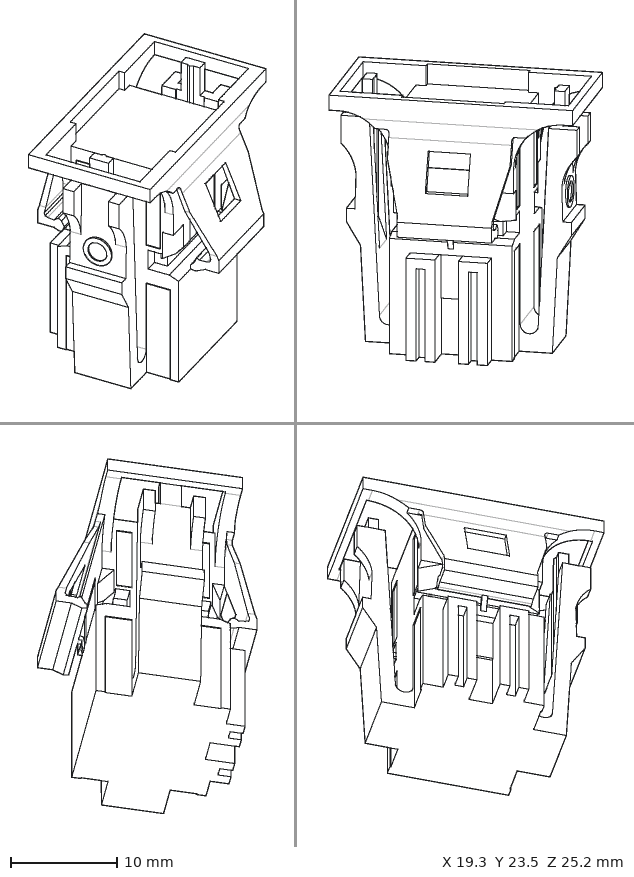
import cadquery as cq
import math

frame_top = 25.05
frame_bottom = 23.55
post_top = 25.2
core_top = 23.08
core_bottom = 13.38
base_top = 11.75

frame_half_x = 6.48
frame_length = 23.5
frame_half_y = frame_length / 2
opening_half_x = 5.0
opening_half_y = 11.0
notch_half_x = 5.6
notch_half_y = 4.95

core_half_x = 5.87
core_half_y = 5.92
core_chamfer = 0.4
neck_half_x = 4.59
base_half_x = 6.45
base_bevel_x = 1
base_bevel_z = 0.4

flare_radius = 4.91
flare_start_y = core_half_y + flare_radius
flare_end_z = frame_bottom - flare_radius
flare_ledge_z = 22.08
flare_drop = flare_ledge_z - flare_end_z
flare_ledge_y = flare_start_y - math.sqrt(flare_radius**2 - flare_drop**2)
flare_corner_radius = 0.35

corner_bevel_top = 16.33
corner_bevel_x = 4.7
corner_bevel_y = 3.83

panel_depth = 0.1
core_panel_half_x = 4.45
core_panel_bottom = 14.36
core_panel_top = 21.62
base_panel_half_x = 5.55
left_base_panel_top = 10.58
right_base_panel_top = 10.05
neck_pocket_width = 1.39
neck_pocket_top = 13.85
neck_pocket_depth = 1.29
side_recess_half_y = 2.52
side_recess_top = 18.35

arm_width = 5.97
arm_half_x = arm_width / 2
arm_foot_y = 9.02
arm_knee_y = 9.5
arm_knee_z = 9.42
ledge_y = 10.85
ledge_bottom = 11.67
ledge_top = 12.98
arm_face_bottom_y = 10.03
arm_face_top_y = 9.78
ear_y = 11.4
ear_curve_bottom = 16.43
ear_curve_top = 19.35
ear_curve_radius = 4.54
arm_top = 22.08
arm_inner_top_y = 8.65
arm_face_slope = (arm_face_top_y - arm_face_bottom_y) / (arm_top - ledge_top)
ear_curve_bottom_y = arm_face_bottom_y + arm_face_slope * (ear_curve_bottom - ledge_top)
slot_diameter = 1.75
slot_floor = 1.8
slot_round_z = slot_floor + slot_diameter / 2
arm_inner_bottom_y = core_half_y + slot_diameter
ear_gap_half_x = 1.85
arm_pocket_half_x = 1.5
arm_pocket_bottom = 8.82
arm_pocket_ramp_top = 11.1
arm_pocket_depth = 0.13
arm_pocket_face_y = arm_inner_top_y + arm_pocket_depth
arm_inner_slope = (arm_inner_top_y - arm_inner_bottom_y) / (arm_top - slot_round_z)
arm_pocket_ramp_y = arm_inner_bottom_y + arm_inner_slope * (arm_pocket_bottom - slot_round_z)

post_half_x = 1
post_inner_y = arm_pocket_face_y
post_outer_y = arm_face_top_y
post_rib_half_x = 0.3
post_rib_depth = 0.2

dial_outer = 3.0
dial_inner = 2.0
dial_height = 0.1
dial_root = 0.25
dial_z = 15.12

clip_root_z = 22.93
clip_taper_top = 19.45
clip_taper_bottom = 14.4
clip_foot_half_y = 4.55
window_half_y = 2.05
window_bottom = 16.55
window_top = 20.34
tie_half_y = 0.28

bar_top = 10.05
bar_outer_x = 8.27
bar_inner_y = 1.13
bar_outer_y = 3.93
bar_groove_inner_y = 2.1
bar_groove_outer_y = 2.95
bar_groove_top = 9.07
bar_groove_depth = 1.25
channel_depth = 0.75
deep_channel_depth = 1
deep_channel_top = 5.57


def block(x0, x1, y0, y1, z0, z1):
    """Axis-aligned block between two corners."""
    return cq.Workplane("XY").box(x1 - x0, y1 - y0, z1 - z0, centered=False).translate((x0, y0, z0))


def centred_block(half_x, half_y, z0, z1):
    """Block centred on the Z axis."""
    return block(-half_x, half_x, -half_y, half_y, z0, z1)


def extrude_along_x(profile, x0, x1):
    """Extrude a closed YZ profile from x0 to x1."""
    return profile.extrude(x1 - x0).translate((x0, 0, 0))


def extrude_along_y(points, half_y):
    """Extrude a closed XZ polygon symmetrically about y = 0."""
    return cq.Workplane("XZ").polyline(points).close().extrude(half_y, both=True)


def both_ends(solid):
    """The solid together with its mirror image across the XZ plane."""
    return solid.union(solid.mirror("XZ"))


def make_housing():
    """Bevelled core, narrow neck and wide base, before any recesses."""
    core = centred_block(core_half_x, core_half_y, core_bottom, core_top)
    core = core.faces("<Z").edges("|Y").chamfer(core_chamfer)
    bevel_overrun = 1.25
    outer_x = core_half_x + bevel_overrun
    slope = (core_half_y - corner_bevel_y) / (core_half_x - corner_bevel_x)
    drop = bevel_overrun * slope
    corner = (
        cq.Workplane("XY", origin=(0, 0, core_bottom))
        .polyline([
            (corner_bevel_x - bevel_overrun, core_half_y + drop),
            (outer_x, corner_bevel_y - drop),
            (outer_x, core_half_y + drop),
        ])
        .close()
        .extrude(corner_bevel_top - core_bottom)
    )
    corners = both_ends(corner.union(corner.mirror("YZ")))
    neck = centred_block(neck_half_x, core_half_y, base_top, core_panel_bottom)
    shoulder_x = base_half_x - base_bevel_x
    shoulder_z = base_top - base_bevel_z
    base = extrude_along_y(
        [
            (-base_half_x, 0), (base_half_x, 0), (base_half_x, shoulder_z),
            (shoulder_x, base_top), (-shoulder_x, base_top), (-base_half_x, shoulder_z),
        ],
        core_half_y,
    )
    return core.cut(corners).union(neck).union(base)


def make_panel_recesses():
    """Panels and neck pockets sunk into the front and back faces, beside the arms."""
    face_y = core_half_y - panel_depth
    core_panel = block(arm_half_x, core_panel_half_x, face_y, core_half_y, core_panel_bottom, core_panel_top)
    panels = core_panel.union(core_panel.mirror("YZ"))
    panels = panels.union(block(-base_panel_half_x, -arm_half_x, face_y, core_half_y, 0, left_base_panel_top))
    panels = panels.union(block(arm_half_x, base_panel_half_x, face_y, core_half_y, 0, right_base_panel_top))
    pocket_y = core_half_y - neck_pocket_depth
    pocket_x = neck_half_x - neck_pocket_width
    pocket = block(pocket_x, neck_half_x, pocket_y, core_half_y, base_top, neck_pocket_top)
    return both_ends(panels.union(pocket).union(pocket.mirror("YZ")))


def make_side_recesses():
    """Shallow recesses in the core behind the latch clips."""
    face_x = core_half_x - panel_depth
    recess = block(face_x, core_half_x, -side_recess_half_y, side_recess_half_y, core_bottom, side_recess_top)
    return recess.union(recess.mirror("YZ"))


def make_frame():
    """Rectangular bezel with flared side walls running down to the core."""
    frame = centred_block(frame_half_x, frame_half_y, frame_bottom, frame_top)
    wall_profile = (
        cq.Workplane("YZ")
        .moveTo(-flare_start_y, frame_bottom)
        .radiusArc((-core_half_y, flare_end_z), flare_radius)
        .lineTo(core_half_y, flare_end_z)
        .radiusArc((flare_start_y, frame_bottom), flare_radius)
        .close()
    )
    walls = extrude_along_x(wall_profile, -frame_half_x, frame_half_x)
    for side in (-1, 1):
        x0, x1 = sorted((side * core_half_x, side * frame_half_x))
        walls = walls.cut(block(x0, x1, -frame_half_y, frame_half_y, flare_end_z, flare_ledge_z))
    frame = frame.union(walls)
    frame = frame.cut(centred_block(opening_half_x, opening_half_y, flare_end_z, frame_top))
    return frame.cut(centred_block(notch_half_x, notch_half_y, core_top, frame_top))


def make_arm():
    """Spring arm at the +Y end, joined to the base below the slot."""
    profile = (
        cq.Workplane("YZ")
        .moveTo(core_half_y, 0)
        .lineTo(arm_foot_y, 0)
        .lineTo(arm_knee_y, arm_knee_z)
        .lineTo(ledge_y, ledge_bottom)
        .lineTo(ledge_y, ledge_top)
        .lineTo(arm_face_bottom_y, ledge_top)
        .lineTo(ear_curve_bottom_y, ear_curve_bottom)
        .radiusArc((ear_y, ear_curve_top), ear_curve_radius)
        .lineTo(ear_y, arm_top)
        .lineTo(arm_inner_top_y, arm_top)
        .lineTo(arm_inner_bottom_y, slot_round_z)
        .threePointArc(
            (core_half_y + slot_diameter / 2, slot_floor),
            (core_half_y, slot_round_z),
        )
        .close()
    )
    arm = extrude_along_x(profile, -arm_half_x, arm_half_x)
    gap_profile = (
        cq.Workplane("YZ")
        .moveTo(ear_curve_bottom_y, ear_curve_bottom)
        .lineTo(arm_face_top_y, arm_top)
        .lineTo(ear_y, arm_top)
        .lineTo(ear_y, ear_curve_bottom)
        .close()
    )
    arm = arm.cut(extrude_along_x(gap_profile, -ear_gap_half_x, ear_gap_half_x))
    pocket_profile = (
        cq.Workplane("YZ")
        .moveTo(core_half_y, arm_pocket_bottom)
        .lineTo(arm_pocket_ramp_y, arm_pocket_bottom)
        .lineTo(arm_pocket_face_y, arm_pocket_ramp_top)
        .lineTo(arm_pocket_face_y, arm_top)
        .lineTo(core_half_y, arm_top)
        .close()
    )
    arm = arm.cut(extrude_along_x(pocket_profile, -arm_pocket_half_x, arm_pocket_half_x))
    post = (
        cq.Workplane("XY", origin=(0, 0, core_bottom))
        .polyline([
            (-post_half_x, post_outer_y), (-post_half_x, post_inner_y),
            (-post_rib_half_x, post_inner_y), (0, post_inner_y - post_rib_depth),
            (post_rib_half_x, post_inner_y), (post_half_x, post_inner_y),
            (post_half_x, post_outer_y),
        ])
        .close()
        .extrude(post_top - core_bottom)
    )
    return arm.union(post)


def make_dial():
    """Dial ring on the front arm, rooted inside its sloping face."""
    ring = cq.Workplane("XZ").circle(dial_outer / 2).circle(dial_inner / 2).extrude(dial_root + dial_height)
    return ring.translate((0, dial_root - arm_face_bottom_y, dial_z))


def make_clip(profile, tie_profile):
    """Sloping latch clip with a curved root, tapered sides, a window and a thin tie to the base.

    The profile runs from the inside of the root around the foot to the top of the outer slope.
    """
    side = math.copysign(1, profile[0][0])
    clip = (
        cq.Workplane("XZ")
        .polyline(profile)
        .tangentArcPoint((side * frame_half_x, clip_root_z), relative=False)
        .lineTo(side * core_half_x, clip_root_z)
        .close()
        .extrude(flare_start_y, both=True)
    )
    half_outline = (
        cq.Workplane("YZ")
        .moveTo(0, frame_bottom)
        .lineTo(flare_start_y, frame_bottom)
        .radiusArc((flare_ledge_y, flare_ledge_z), -flare_radius)
        .lineTo(core_half_y + flare_corner_radius, flare_ledge_z)
        .radiusArc((core_half_y, flare_ledge_z - flare_corner_radius), -flare_corner_radius)
        .lineTo(core_half_y, clip_taper_top)
        .lineTo(clip_foot_half_y, clip_taper_bottom)
        .lineTo(clip_foot_half_y, 0)
        .lineTo(0, 0)
        .close()
    )
    clip = clip.intersect(both_ends(half_outline.extrude(frame_half_y, both=True)))
    clip = clip.cut(centred_block(frame_half_y, window_half_y, window_bottom, window_top))
    return clip.union(extrude_along_y(tie_profile, tie_half_y))


left_clip_profile = [
    (-core_half_x, 22.18), (-6.07, 22.0), (-6.15, 21.65), (-8.4, 14.4), (-8.57, 13.7), (-8.47, 13.4),
    (-8.2, 13.3), (-7.53, 13.2), (-7.05, 13.55), (-6.73, 13.35), (-6.43, 12.78), (-6.73, 12.12),
    (-7.05, 12.17), (-7.53, 12.37), (-9.27, 12.37), (-9.27, 13.83), (-6.78, 21.35),
]
left_tie_profile = [(-7.05, 12.2), (-6.73, 12.2), (-6.43, 11.35), (-6.43, 10.63)]
right_clip_profile = [
    (core_half_x, 22.18), (6.07, 22.08), (6.22, 21.65), (9.0, 14.5), (9.12, 13.78), (9.02, 13.5),
    (8.75, 13.43), (7.95, 13.38), (7.64, 13.58), (7.28, 12.85), (7.0, 12.57), (7.0, 12.12),
    (7.53, 12.05), (8.55, 12.52), (10.0, 12.52), (10.0, 13.95), (6.83, 21.35),
]
right_tie_profile = [
    (7.03, 12.63), (7.03, 12.12), (6.68, 12.12), (6.68, 11.4), (6.6, 11.1),
    (6.4, 11.1), (6.48, 12.12), (6.58, 12.63),
]


def make_bar():
    """Grooved coding bar on the +Y half of the left side."""
    bar = block(-bar_outer_x, -base_half_x, bar_inner_y, bar_outer_y, 0, bar_top)
    groove_floor_x = -bar_outer_x + bar_groove_depth
    groove = block(-bar_outer_x, groove_floor_x, bar_groove_inner_y, bar_groove_outer_y, 0, bar_groove_top)
    return bar.cut(groove)


def make_channel():
    """Stepped channel in the base between the two coding bars."""
    floor_x = -base_half_x + channel_depth
    deep_floor_x = -base_half_x + deep_channel_depth
    shallow = block(-base_half_x, floor_x, -bar_inner_y, bar_inner_y, 0, bar_top)
    deep = block(-base_half_x, deep_floor_x, -bar_inner_y, bar_inner_y, 0, deep_channel_top)
    return shallow.union(deep)


housing = make_housing().cut(make_panel_recesses()).cut(make_side_recesses()).cut(make_channel())
result = (
    housing
    .union(make_frame())
    .union(both_ends(make_arm()))
    .union(make_dial())
    .union(make_clip(left_clip_profile, left_tie_profile))
    .union(make_clip(right_clip_profile, right_tie_profile))
    .union(both_ends(make_bar()))
)